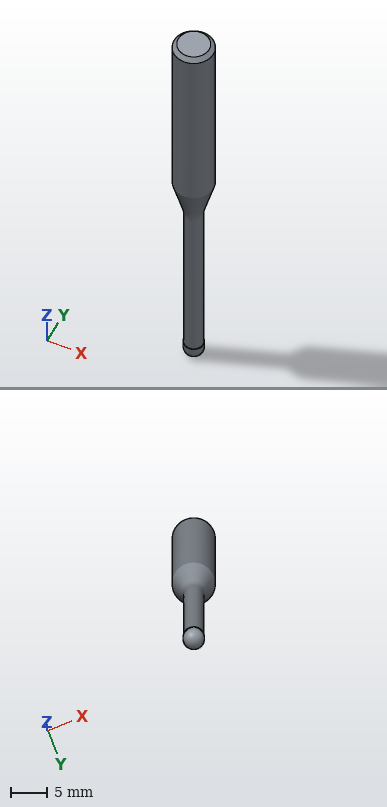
import cadquery as cq
import math

overall_length = 65.0
shank_radius = 3.0
shank_bottom = 36.0
shank_chamfer = 0.65

ball_radius = 1.5
cutter_height = 2.5

neck_diameter = 2.8
neck_radius = neck_diameter / 2
taper_angle = math.radians(15)
blend_radius = 6.0

cone_end_radius = neck_radius + blend_radius * (1 - math.cos(taper_angle))
cone_end = shank_bottom - (shank_radius - cone_end_radius) / math.tan(taper_angle)
blend_bottom = cone_end - blend_radius * math.sin(taper_angle)
blend_middle = (
    neck_radius + blend_radius * (1 - math.cos(taper_angle / 2)),
    blend_bottom + blend_radius * math.sin(taper_angle / 2),
)


def revolve_about_z(half_profile):
    """Turn a closed half profile (radius, height) into a solid around Z."""
    return half_profile.revolve(360, (0, 0, 0), (0, 1, 0))


def make_cutter():
    """Ball tip with a short cylindrical part."""
    ball_middle = (
        ball_radius * math.sin(math.pi / 4),
        ball_radius * (1 - math.cos(math.pi / 4)),
    )
    half_profile = (
        cq.Workplane("XZ")
        .moveTo(0, 0)
        .threePointArc(ball_middle, (ball_radius, ball_radius))
        .lineTo(ball_radius, cutter_height)
        .lineTo(0, cutter_height)
        .close()
    )
    return revolve_about_z(half_profile)


def make_shank():
    """Slim neck, blended cone and chamfered shank, resting on the cutter."""
    half_profile = (
        cq.Workplane("XZ")
        .moveTo(0, cutter_height)
        .lineTo(neck_radius, cutter_height)
        .lineTo(neck_radius, blend_bottom)
        .threePointArc(blend_middle, (cone_end_radius, cone_end))
        .lineTo(shank_radius, shank_bottom)
        .lineTo(shank_radius, overall_length - shank_chamfer)
        .lineTo(shank_radius - shank_chamfer, overall_length)
        .lineTo(0, overall_length)
        .close()
    )
    return revolve_about_z(half_profile)


cutter = make_cutter()
shank = make_shank()

result = cq.Compound.makeCompound([cutter.val(), shank.val()])